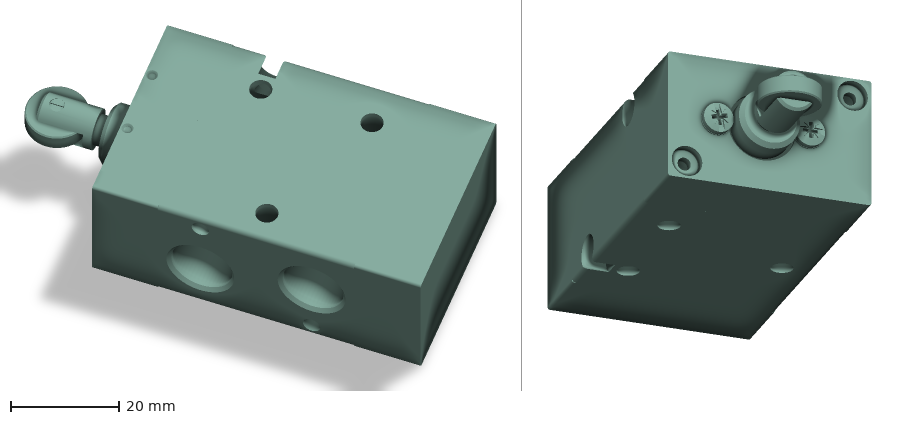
import cadquery as cq
import math


block_width = 40.0
block_height = 25.1
front_cap_length = 12.9
body_length = 38.7
rear_cap_length = 13.1
cap_edge_radius = 0.5
body_edge_radius = 0.85
body_start = front_cap_length
body_end = body_start + body_length
front_face_y = -block_width / 2
back_face_y = block_width / 2
top_face_z = block_height / 2

station_spacing = 21.9
body_middle_x = body_start + body_length / 2
front_station_x = body_middle_x - station_spacing / 2
rear_station_x = body_middle_x + station_spacing / 2
port_radius = 6.0
port_chamfer = 0.7
port_depth = 12.0
port_places = [(front_station_x, -2.6), (rear_station_x, 1.3)]
side_hole_radius = 1.7
side_hole_z = 9.8
side_hole_places = [(front_station_x, side_hole_z), (rear_station_x, -side_hole_z)]
side_counterbore_radius = 3.25
side_counterbore_depth = 4.8
mount_hole_radius = 2.1
mount_hole_back_y = 12.0
mount_hole_front_y = -14.2
mount_hole_places = [
    (front_station_x, mount_hole_back_y),
    (rear_station_x, mount_hole_back_y),
    (body_middle_x, mount_hole_front_y),
]

axis_y = 1.5
collar_radius = 6.0
collar_length = 4.9
collar_chamfer = 0.85
flange_radius = 6.7
flange_recess = 0.85
bushing_depth = 6.85

rod_radius = 3.0
head_radius = 4.0
head_start = -6.85
head_tip = -18.0
tip_chamfer = 0.5
slot_height = 4.0
slot_end = -8.5

roller_radius = 6.0
roller_width = 3.4
roller_chamfer = 0.25
roller_x = -14.9
axle_radius = 1.45
axle_top_z = math.sqrt(head_radius**2 - axle_radius**2)
axle_bottom_z = -3.0
axle_slot_width = 0.2
axle_slot_depth = 0.25

dome_screw_spacing = 18.0
dome_head_radius = 2.9
dome_base_radius = 3.0
dome_base_height = 0.25
dome_rim_height = 1.45
dome_height = 0.7
dome_shank_radius = 1.45
dome_shank_length = 7.7
driver_slot_width = 1.1
cross_arm_length = 3.25
cross_arm_width = 0.9
cross_depth = 1.4
cross_taper = 10
tick_length = 3.9
tick_width = 0.2
tick_depth = 0.5
dome_screw_places = [(-1, 0), (1, 78)]

corner_screw_y = 16.3
corner_screw_z = 9.1
corner_screw_places = [(-corner_screw_y, corner_screw_z), (corner_screw_y, -corner_screw_z)]
corner_head_radius = 3.0
corner_head_chamfer = 0.3
corner_head_sink = 1.5
corner_head_end = 5.1
corner_shank_radius = 1.7
corner_shank_end = 17.1
socket_radius = 1.3
socket_depth = 1.7
socket_cone_depth = 1.4

dimple_x = 1.4
dimple_spacing = 13.0
dimple_top_radius = 1.1
dimple_floor_radius = 0.7
dimple_depth = 0.4


def rod_x(start, end, radius, y=0.0, z=0.0):
    """Cylinder along X between two X positions."""
    return cq.Workplane("YZ", origin=(start, y, z)).circle(radius).extrude(end - start)


def turned_x(profile, y=0.0, z=0.0):
    """Solid turned about the X direction from (x, radius) points."""
    outline = cq.Workplane("XY").polyline(profile).close()
    return outline.revolve(360, (0, 0, 0), (1, 0, 0)).translate((0, y, z))


def cylinder_y(x, z, start, end, radius):
    """Cylinder along Y between two Y positions."""
    return cq.Workplane("XZ", origin=(x, start, z)).circle(radius).extrude(start - end)


def cylinder_z(start, end, radius):
    """Cylinder on the roller's vertical axis between two Z positions."""
    return cq.Workplane("XY", origin=(roller_x, axis_y, start)).circle(radius).extrude(end - start)


def block(start, length, edge_radius):
    """Length of the block with its four long edges rounded."""
    blank = cq.Workplane("YZ", origin=(start, 0, 0)).rect(block_width, block_height).extrude(length)
    return blank.edges("|X").fillet(edge_radius)


def corner_screw_blank(y, z):
    """Sunk screw without its socket; also the seat it fills in the cap and the body."""
    profile = [
        (corner_head_sink, 0),
        (corner_head_sink, corner_head_radius),
        (corner_head_end, corner_head_radius),
        (corner_head_end, corner_shank_radius),
        (corner_shank_end, corner_shank_radius),
        (corner_shank_end, 0),
    ]
    return turned_x(profile, y, z)


def make_corner_screw(y, z):
    screw = corner_screw_blank(y, z).faces("<X").chamfer(corner_head_chamfer)
    socket_floor = corner_head_sink + socket_depth
    socket = turned_x(
        [
            (corner_head_sink, 0),
            (corner_head_sink, socket_radius),
            (socket_floor, socket_radius),
            (socket_floor + socket_cone_depth, 0),
        ],
        y,
        z,
    )
    return screw.cut(socket)


def dome_screw_y(side):
    return axis_y + side * dome_screw_spacing / 2


def make_dome_screw(side, turn):
    rim_x = -dome_rim_height
    top_x = rim_x - dome_height
    dome_sphere_radius = (dome_head_radius**2 + dome_height**2) / (2 * dome_height)
    half_angle = math.asin(dome_head_radius / dome_sphere_radius) / 2
    arc_middle = (
        top_x + dome_sphere_radius * (1 - math.cos(half_angle)),
        dome_sphere_radius * math.sin(half_angle),
    )
    outline = (
        cq.Workplane("XY")
        .moveTo(top_x, 0)
        .threePointArc(arc_middle, (rim_x, dome_head_radius))
        .lineTo(-dome_base_height, dome_head_radius)
        .lineTo(-dome_base_height, dome_base_radius)
        .lineTo(0, dome_base_radius)
        .lineTo(0, dome_shank_radius)
        .lineTo(dome_shank_length, dome_shank_radius)
        .lineTo(dome_shank_length, 0)
        .close()
    )
    screw = outline.revolve(360, (0, 0, 0), (1, 0, 0))

    recess_plane = cq.Workplane("YZ", origin=(top_x, 0, 0))
    driver_slot = recess_plane.rect(2 * dome_head_radius, driver_slot_width).extrude(dome_height)
    screw = screw.cut(driver_slot)
    for length_y, length_z in [(cross_arm_length, cross_arm_width), (cross_arm_width, cross_arm_length)]:
        screw = screw.cut(recess_plane.rect(length_y, length_z).extrude(cross_depth, taper=cross_taper))

    for diagonal in (45, -45):
        tick = recess_plane.rect(tick_length, tick_width).extrude(tick_depth)
        screw = screw.cut(tick.rotate((0, 0, 0), (1, 0, 0), diagonal))

    return screw.rotate((0, 0, 0), (1, 0, 0), turn).translate((0, dome_screw_y(side), 0))


def make_front_cap():
    cap = block(0, front_cap_length, cap_edge_radius)
    cap = cap.cut(rod_x(0, bushing_depth, flange_radius, axis_y))

    for y, z in corner_screw_places:
        cap = cap.cut(rod_x(0, corner_head_sink, corner_head_radius, y, z))
        cap = cap.cut(corner_screw_blank(y, z))

    for side, _ in dome_screw_places:
        cap = cap.cut(rod_x(0, dome_shank_length, dome_shank_radius, dome_screw_y(side)))

    for side in (-1, 1):
        dimple = cq.Solid.makeCone(
            dimple_top_radius,
            dimple_floor_radius,
            dimple_depth,
            cq.Vector(dimple_x, axis_y + side * dimple_spacing / 2, top_face_z),
            cq.Vector(0, 0, -1),
        )
        cap = cap.cut(cq.Workplane(dimple))
    return cap


def make_port(x, z):
    """Cutter for a blind port with a chamfered mouth in the front side."""
    bore = cylinder_y(x, z, front_face_y, front_face_y + port_depth, port_radius)
    mouth = cq.Solid.makeCone(
        port_radius + port_chamfer,
        port_radius,
        port_chamfer,
        cq.Vector(x, front_face_y, z),
        cq.Vector(0, 1, 0),
    )
    return bore.union(cq.Workplane(mouth))


def make_valve_body():
    body = block(body_start, body_length, body_edge_radius)

    for x, z in port_places:
        body = body.cut(make_port(x, z))

    for x, z in side_hole_places:
        body = body.cut(cylinder_y(x, z, front_face_y, back_face_y, side_hole_radius))
        counterbore_floor_y = back_face_y - side_counterbore_depth
        body = body.cut(cylinder_y(x, z, counterbore_floor_y, back_face_y, side_counterbore_radius))

    mount_plane = cq.Workplane("XY", origin=(0, 0, -top_face_z))
    body = body.cut(mount_plane.pushPoints(mount_hole_places).circle(mount_hole_radius).extrude(block_height))

    for y, z in corner_screw_places:
        body = body.cut(corner_screw_blank(y, z))
    return body


def make_bushing():
    profile = [
        (-collar_length, rod_radius),
        (-collar_length, collar_radius - collar_chamfer),
        (-collar_length + collar_chamfer, collar_radius),
        (flange_recess, collar_radius),
        (flange_recess, flange_radius),
        (bushing_depth, flange_radius),
        (bushing_depth, rod_radius),
    ]
    return turned_x(profile, axis_y)


def make_plunger():
    head = rod_x(head_tip, head_start, head_radius, axis_y).faces("<X").chamfer(tip_chamfer)

    slot_length = slot_end - head_tip
    slot = cq.Workplane("XY").box(slot_length, 2 * head_radius, slot_height)
    slot = slot.translate((head_tip + slot_length / 2, axis_y, 0))

    axle_hole = cylinder_z(axle_bottom_z, head_radius, axle_radius)

    rod = rod_x(head_start, bushing_depth, rod_radius, axis_y)
    return head.cut(slot).cut(axle_hole).union(rod)


def make_roller():
    """Roller with its axle, which ends blind in the lower arm of the plunger's fork."""
    wheel = cylinder_z(-roller_width / 2, roller_width / 2, roller_radius)
    wheel = wheel.faces("<Z or >Z").chamfer(roller_chamfer)
    axle = cylinder_z(axle_bottom_z, axle_top_z, axle_radius)
    driver_slot = cq.Workplane("XY", origin=(roller_x, axis_y, axle_top_z))
    driver_slot = driver_slot.rect(2 * axle_radius, axle_slot_width).extrude(-axle_slot_depth)
    return wheel.union(axle.cut(driver_slot))


front_cap = make_front_cap()
valve_body = make_valve_body()
rear_cap = block(body_end, rear_cap_length, cap_edge_radius)
bushing = make_bushing()
plunger = make_plunger()
roller = make_roller()
dome_screws = [make_dome_screw(side, turn) for side, turn in dome_screw_places]
corner_screws = [make_corner_screw(y, z) for y, z in corner_screw_places]

result = cq.Compound.makeCompound(
    [
        front_cap.val(),
        valve_body.val(),
        rear_cap.val(),
        bushing.val(),
        plunger.val(),
        roller.val(),
        *[screw.val() for screw in dome_screws],
        *[screw.val() for screw in corner_screws],
    ]
)